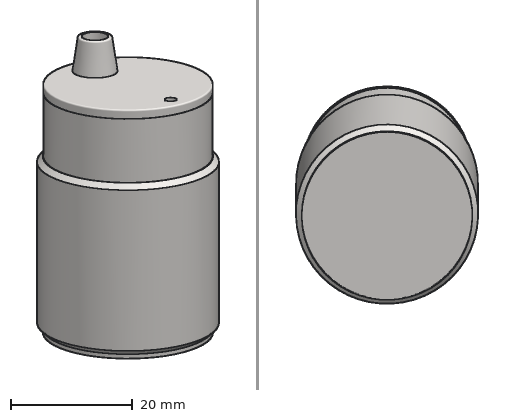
import cadquery as cq

total_height = 49.1

body_diameter = 30.0
foot_diameter = 28.1
foot_height = 0.8
body_bottom_z = 1.65
shoulder_top_z = 30.5
shoulder_chamfer = (body_diameter - foot_diameter) / 2

neck_diameter = 27.9
lid_diameter = 28.0
lid_bottom_z = 41.55
lid_top_z = 43.15
lid_rounding = 0.3

nozzle_x = -8.5
nozzle_base_diameter = 7.45
nozzle_tip_diameter = 5.7
nozzle_tip_rounding = 0.3
nozzle_bore_diameter = 4.3
nozzle_bore_depth = total_height - lid_top_z

vent_x = 11.0
vent_diameter = 2.0
vent_depth = 1.0


def revolve_outline(outline):
    """Turn a closed (radius, height) outline about the Z axis."""
    return cq.Workplane("XZ").polyline(outline).close().revolve(360, (0, 0), (0, 1))


def make_bottle():
    """Foot, body, neck and lid as one turned solid, with the lid's top rim rounded."""
    body_radius = body_diameter / 2
    foot_radius = foot_diameter / 2
    neck_radius = neck_diameter / 2
    lid_radius = lid_diameter / 2
    return revolve_outline([
        (0, 0),
        (foot_radius, 0),
        (foot_radius, foot_height),
        (body_radius, body_bottom_z),
        (body_radius, shoulder_top_z - shoulder_chamfer),
        (body_radius - shoulder_chamfer, shoulder_top_z),
        (neck_radius, shoulder_top_z),
        (neck_radius, lid_bottom_z),
        (lid_radius, lid_bottom_z),
        (lid_radius, lid_top_z),
        (0, lid_top_z),
    ]).faces(">Z").edges().fillet(lid_rounding)


def make_nozzle():
    """Tapered spout standing on the lid, with a rounded tip."""
    spout = revolve_outline([
        (0, lid_top_z),
        (nozzle_base_diameter / 2, lid_top_z),
        (nozzle_tip_diameter / 2, total_height),
        (0, total_height),
    ]).faces(">Z").edges().fillet(nozzle_tip_rounding)
    return spout.translate((nozzle_x, 0, 0))


def make_blind_hole(x, top_z, diameter, depth):
    """Cylinder to cut downward from top_z at the given X."""
    return cq.Workplane("XY", origin=(x, 0, top_z)).circle(diameter / 2).extrude(-depth)


nozzle_bore = make_blind_hole(nozzle_x, total_height, nozzle_bore_diameter, nozzle_bore_depth)
vent = make_blind_hole(vent_x, lid_top_z, vent_diameter, vent_depth)

result = make_bottle().union(make_nozzle()).cut(nozzle_bore).cut(vent)